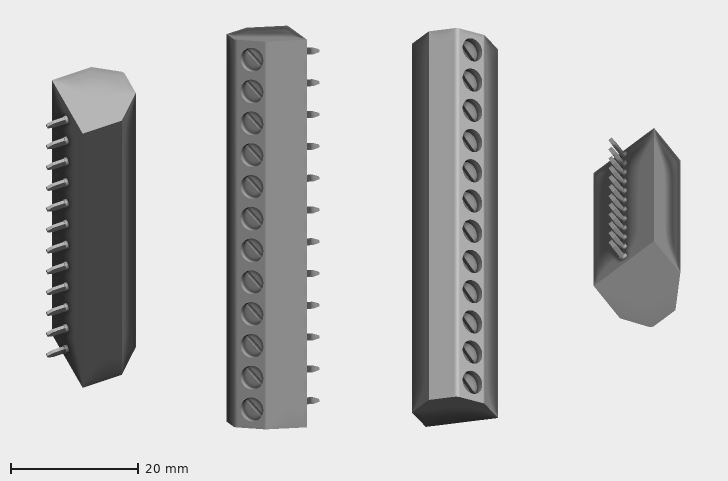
import cadquery as cq
import math

pole_count = 12
pitch = 5.08
end_allowance = 1.0
body_width = 12.0
body_depth = 11.0
body_length = pole_count * pitch + end_allowance
first_pole_z = (end_allowance + pitch) / 2

screw_face_tilt = 35.0
screw_face_run = 3.0
screw_face_rise = screw_face_run / math.tan(math.radians(screw_face_tilt))
upper_round = 1.0
lower_round = 0.6

back_bevel = 4.3

screw_diameter = 3.8
screw_center_y = 8.58
screw_recess = 1.4
slot_width = 0.6
slot_depth = 0.8
slot_angle = 45.0

collar_diameter = 1.35
collar_length = 0.5
pin_length = 3.5
pin_thickness = 0.6
pin_width = 1.0
pin_tip_width = 0.4
pin_taper_length = 1.0
pin_x = body_width / 2

pole_heights = [first_pole_z + i * pitch for i in range(pole_count)]


def make_body():
    """Extruded housing with the two edges of the screw face rounded."""
    screw_face_bottom_y = body_depth - screw_face_rise
    body = (
        cq.Workplane("XY")
        .moveTo(0, 0)
        .lineTo(body_width, 0)
        .lineTo(body_width, body_depth - back_bevel)
        .lineTo(body_width - back_bevel, body_depth)
        .lineTo(screw_face_run, body_depth)
        .lineTo(0, screw_face_bottom_y)
        .close()
        .extrude(body_length)
    )
    upper_edge = cq.selectors.NearestToPointSelector((screw_face_run, body_depth, body_length / 2))
    lower_edge = cq.selectors.NearestToPointSelector((0, screw_face_bottom_y, body_length / 2))
    return body.edges(upper_edge).fillet(upper_round).edges(lower_edge).fillet(lower_round)


def make_screw_cut(pole_z):
    """Round recess with a driver slot in its floor, square to the screw face."""
    tilt = math.radians(screw_face_tilt)
    center_x = screw_face_run - (body_depth - screw_center_y) * math.tan(tilt)
    screw_plane = cq.Plane(
        origin=(center_x, screw_center_y, pole_z),
        xDir=(0, 0, 1),
        normal=(-math.cos(tilt), math.sin(tilt), 0),
    )
    slot_bottom = screw_recess + slot_depth
    recess = cq.Workplane(screw_plane).circle(screw_diameter / 2).extrude(-screw_recess)
    full_bore = cq.Workplane(screw_plane).circle(screw_diameter / 2).extrude(-slot_bottom)
    slot = (
        cq.Workplane(screw_plane)
        .transformed(rotate=(0, 0, slot_angle))
        .rect(screw_diameter, slot_width)
        .extrude(-slot_bottom)
        .intersect(full_bore)
    )
    return recess.union(slot)


def make_pin(pole_z):
    """Flat pin with a tapered tip, standing on a round collar."""
    collar = (
        cq.Workplane("XZ", origin=(pin_x, 0, pole_z))
        .circle(collar_diameter / 2)
        .extrude(collar_length)
    )
    taper_start = pin_length - pin_taper_length
    blade = (
        cq.Workplane("YZ", origin=(pin_x, 0, pole_z))
        .moveTo(0, -pin_width / 2)
        .lineTo(-taper_start, -pin_width / 2)
        .lineTo(-pin_length, -pin_tip_width / 2)
        .lineTo(-pin_length, pin_tip_width / 2)
        .lineTo(-taper_start, pin_width / 2)
        .lineTo(0, pin_width / 2)
        .close()
        .extrude(pin_thickness / 2, both=True)
    )
    return collar.union(blade)


result = make_body()
for height in pole_heights:
    result = result.cut(make_screw_cut(height)).union(make_pin(height))